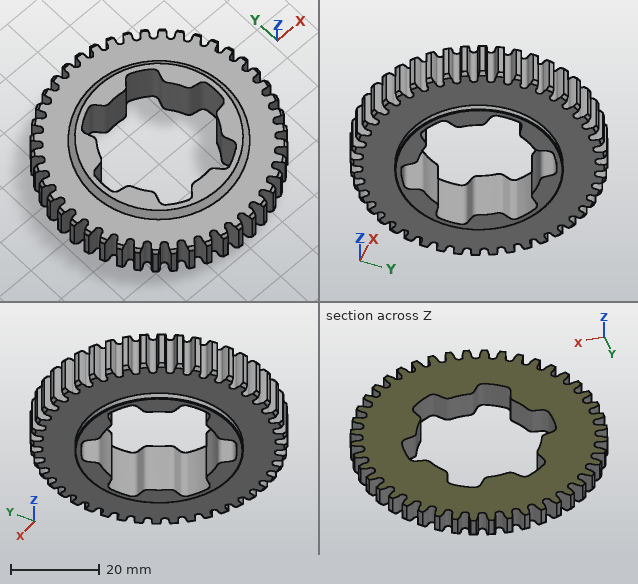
import cadquery as cq
import math

TOOTH_COUNT = 44
MODULE = 1.27
PRESSURE_ANGLE = math.radians(14.5)
TIP_RADIUS = 29.155
GEAR_WIDTH = 9.652
TIP_CHAMFER = 0.762
DEDENDUM = 1.25 * MODULE
INVOLUTE_START_RADIUS = 27.6
PITCH_RADIUS = MODULE * TOOTH_COUNT / 2
BASE_RADIUS = PITCH_RADIUS * math.cos(PRESSURE_ANGLE)
ROOT_RADIUS = PITCH_RADIUS - DEDENDUM

HUB_RADIUS = 19.05
HUB_HEIGHT = 1.524
HUB_EDGE_CHAMFER = 0.2
UPPER_HUB_TAPER = 45

LOBE_COUNT = 6
BORE_MINOR_RADIUS = 14.2
BORE_MAJOR_RADIUS = 17.65
LOBE_INNER_HALF_WIDTH = 4.32
LOBE_OUTER_HALF_WIDTH = 3.65
LOBE_FILLET = 1.5875

GEAR_TOP = GEAR_WIDTH / 2
GEAR_BOTTOM = -GEAR_TOP
PART_TOP = GEAR_TOP + HUB_HEIGHT
PART_BOTTOM = GEAR_BOTTOM - HUB_HEIGHT
PART_HEIGHT = PART_TOP - PART_BOTTOM


def polar(radius, angle):
    """X and Y of the point at a radius and an angle in radians."""
    return (radius * math.cos(angle), radius * math.sin(angle))


def involute(pressure_angle):
    return math.tan(pressure_angle) - pressure_angle


def gap_half_angle(radius):
    """Half the angle between the involute flanks on either side of a tooth gap."""
    half_angle_at_pitch = math.pi / (2 * TOOTH_COUNT)
    local_pressure_angle = math.acos(BASE_RADIUS / radius)
    return half_angle_at_pitch + involute(local_pressure_angle) - involute(PRESSURE_ANGLE)


def make_gear_blank():
    return (
        cq.Workplane("XY", origin=(0, 0, GEAR_BOTTOM))
        .circle(TIP_RADIUS)
        .extrude(GEAR_WIDTH)
        .edges()
        .chamfer(TIP_CHAMFER)
    )


def make_tooth_gap():
    """Cutter for the gap on +X: round root, parallel lower sides, involute upper flanks."""
    clear_radius = TIP_RADIUS + MODULE
    middle_radius = (INVOLUTE_START_RADIUS + TIP_RADIUS) / 2
    start_x, half_width = polar(INVOLUTE_START_RADIUS, gap_half_angle(INVOLUTE_START_RADIUS))
    root_centre_x = ROOT_RADIUS + half_width
    middle_x, middle_y = polar(middle_radius, gap_half_angle(middle_radius))
    tip_x, tip_y = polar(TIP_RADIUS, gap_half_angle(TIP_RADIUS))
    return (
        cq.Workplane("XY", origin=(0, 0, GEAR_BOTTOM))
        .moveTo(root_centre_x, -half_width)
        .threePointArc((ROOT_RADIUS, 0), (root_centre_x, half_width))
        .lineTo(start_x, half_width)
        .threePointArc((middle_x, middle_y), (tip_x, tip_y))
        .lineTo(clear_radius, tip_y)
        .lineTo(clear_radius, -tip_y)
        .lineTo(tip_x, -tip_y)
        .threePointArc((middle_x, -middle_y), (start_x, -half_width))
        .close()
        .extrude(GEAR_WIDTH)
    )


def cut_teeth(blank):
    gap = make_tooth_gap().val()
    pitch_angle = 360 / TOOTH_COUNT
    axis_start = cq.Vector(0, 0, 0)
    axis_end = cq.Vector(0, 0, 1)
    gaps = [gap.rotate(axis_start, axis_end, i * pitch_angle) for i in range(TOOTH_COUNT)]
    return blank.cut(cq.Workplane(cq.Compound.makeCompound(gaps)))


def make_lower_hub():
    return (
        cq.Workplane("XY", origin=(0, 0, PART_BOTTOM))
        .circle(HUB_RADIUS)
        .extrude(HUB_HEIGHT)
        .faces("<Z")
        .edges()
        .chamfer(HUB_EDGE_CHAMFER)
    )


def make_upper_hub():
    """Hub with a cone side that widens down to the gear face."""
    foot_radius = HUB_RADIUS + HUB_HEIGHT * math.tan(math.radians(UPPER_HUB_TAPER))
    return (
        cq.Workplane("XY", origin=(0, 0, GEAR_TOP))
        .circle(foot_radius)
        .extrude(HUB_HEIGHT, taper=UPPER_HUB_TAPER)
    )


def make_splined_bore():
    lobe_pitch = 2 * math.pi / LOBE_COUNT
    inner_angle = math.asin(LOBE_INNER_HALF_WIDTH / BORE_MINOR_RADIUS)
    outer_angle = math.asin(LOBE_OUTER_HALF_WIDTH / BORE_MAJOR_RADIUS)
    first_point = polar(BORE_MINOR_RADIUS, -inner_angle)
    outline = cq.Workplane("XY", origin=(0, 0, PART_BOTTOM)).moveTo(*first_point)
    for i in range(LOBE_COUNT):
        centre = i * lobe_pitch
        next_lobe = centre + lobe_pitch
        outline = (
            outline.lineTo(*polar(BORE_MAJOR_RADIUS, centre - outer_angle))
            .threePointArc(
                polar(BORE_MAJOR_RADIUS, centre),
                polar(BORE_MAJOR_RADIUS, centre + outer_angle),
            )
            .lineTo(*polar(BORE_MINOR_RADIUS, centre + inner_angle))
            .threePointArc(
                polar(BORE_MINOR_RADIUS, centre + lobe_pitch / 2),
                polar(BORE_MINOR_RADIUS, next_lobe - inner_angle),
            )
        )
    return outline.close().extrude(PART_HEIGHT).edges("|Z").fillet(LOBE_FILLET)


gear = cut_teeth(make_gear_blank())
body = gear.union(make_lower_hub()).union(make_upper_hub())
result = body.cut(make_splined_bore())